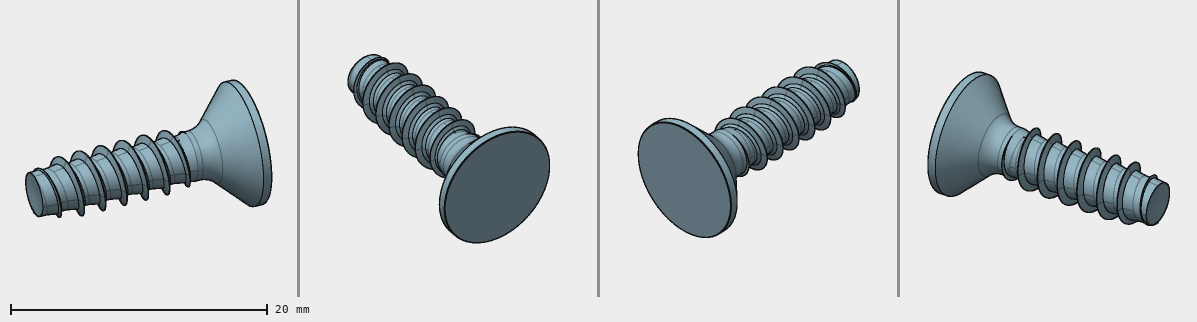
import cadquery as cq
import math

length = 18.0

head_radius = 5.0
rim_height = 0.72
rim_edge_chamfer = 0.05
shank_radius = 1.98
neck_fillet_radius = 2.0
collar_depth = 5.0

core_radius = 1.76
core_taper_length = 0.81
tip_rim_width = 0.09
dish_depth = 0.15

pitch = 1.8
crest_radius = 2.52
crest_width = 0.05
shoulder_radius = 2.02
shoulder_offset = 0.171
upper_root_offset = 0.387
lower_root_radius = 1.93
lower_root_offset = 0.23
ramp_end_offset = 1.19
buried_radius = 1.44
sink = 0.02

depth_at_zero_turn = 5.85
start_turn = -0.75
lead_in_end_turn = -0.25
full_height_turn = 0.5
runout_start_turn = 5.25
start_height = 0.42
runout_turns = 1.5
end_height = 0.1
ramp_persistence = 1.5
end_turn = 7.0
segment_turns = 0.25
points_per_segment = 6


def make_body():
    """Head, neck and core as one revolved outline, in (radius, y)."""
    cone_angle = math.pi / 4
    half_angle = cone_angle / 2
    neck_start_radius = shank_radius + neck_fillet_radius * (1 - math.cos(cone_angle))
    neck_start_depth = rim_height + head_radius - neck_start_radius
    neck_end_depth = neck_start_depth + neck_fillet_radius * math.sin(cone_angle)
    fillet_middle = (
        shank_radius + neck_fillet_radius * (1 - math.cos(half_angle)),
        -neck_end_depth + neck_fillet_radius * math.sin(half_angle),
    )
    return (
        cq.Workplane("XY")
        .moveTo(0, 0)
        .lineTo(head_radius - rim_edge_chamfer, 0)
        .lineTo(head_radius, -rim_edge_chamfer)
        .lineTo(head_radius, -rim_height)
        .lineTo(neck_start_radius, -neck_start_depth)
        .threePointArc(fillet_middle, (shank_radius, -neck_end_depth))
        .lineTo(shank_radius, -collar_depth)
        .lineTo(core_radius, -collar_depth - core_taper_length)
        .lineTo(core_radius, -length)
        .lineTo(0, -length)
        .close()
        .revolve(360, (0, 0, 0), (0, 1, 0))
    )


def crest_depth(turn):
    """Depth of the crest below the head face; parabolic up to the lead-in end."""
    depth = depth_at_zero_turn + pitch * turn
    if turn < lead_in_end_turn:
        depth += pitch * (lead_in_end_turn - turn) ** 2 / (2 * (lead_in_end_turn - start_turn))
    return depth


def height_fraction(turn):
    """Thread height as a fraction of full height, falling off at both ends."""
    rise = start_height + (1 - start_height) * (turn - start_turn) / (full_height_turn - start_turn)
    fall = 1 - (turn - runout_start_turn) / runout_turns
    return max(end_height, min(1, rise, fall))


def profile(turn):
    """Corners of the thread section as (radius, depth), from the upper side down."""
    fraction = height_fraction(turn)
    full_tooth = [
        (core_radius, -upper_root_offset),
        (shoulder_radius, -shoulder_offset),
        (crest_radius, -crest_width / 2),
        (crest_radius, crest_width / 2),
    ]
    depth = crest_depth(turn)
    tooth = [
        (core_radius - sink + fraction * (radius - core_radius), depth + fraction * offset)
        for radius, offset in full_tooth
    ]
    ramp_fraction = min(1, ramp_persistence * fraction)
    ramp_start = (
        core_radius - sink + ramp_fraction * (lower_root_radius - core_radius),
        depth + fraction * lower_root_offset,
    )
    ramp_end = (core_radius - sink, depth + ramp_end_offset)
    return [
        (buried_radius, tooth[0][1]),
        *tooth,
        ramp_start,
        ramp_end,
        (buried_radius, ramp_end[1]),
    ]


def section_corners(turn):
    """Corners of the thread section placed in space."""
    angle = 2 * math.pi * turn
    return [
        cq.Vector(radius * math.cos(angle), -depth, radius * math.sin(angle))
        for radius, depth in profile(turn)
    ]


def make_strips(first_turn, last_turn):
    """Ruled faces between the helices of neighbouring section corners."""
    turns = [
        first_turn + i * (last_turn - first_turn) / points_per_segment
        for i in range(points_per_segment + 1)
    ]
    tracks = zip(*[section_corners(turn) for turn in turns])
    helices = [cq.Edge.makeSpline(list(track), parameters=turns) for track in tracks]
    return [
        cq.Face.makeRuledSurface(helix, next_helix)
        for helix, next_helix in zip(helices, helices[1:] + helices[:1])
    ]


def make_thread():
    """Thread solid built in short segments and trimmed to the threaded length."""
    segments = round((end_turn - start_turn) / segment_turns)
    faces = []
    for i in range(segments):
        first_turn = start_turn + i * segment_turns
        faces += make_strips(first_turn, first_turn + segment_turns)
    for turn in (start_turn, end_turn):
        faces.append(cq.Face.makeFromWires(cq.Wire.makePolygon(section_corners(turn), close=True)))
    thread = cq.Workplane(cq.Solid.makeSolid(cq.Shell.makeShell(faces)))
    threaded_zone = (
        cq.Workplane("XZ", origin=(0, -collar_depth, 0))
        .circle(head_radius)
        .extrude(length - collar_depth)
    )
    return thread.intersect(threaded_zone)


def make_tip_dish():
    """Shallow cone to be removed from the tip face."""
    return (
        cq.Workplane("XY")
        .moveTo(0, -length)
        .lineTo(core_radius - tip_rim_width, -length)
        .lineTo(0, -length + dish_depth)
        .close()
        .revolve(360, (0, 0, 0), (0, 1, 0))
    )


result = make_body().union(make_thread()).cut(make_tip_dish())